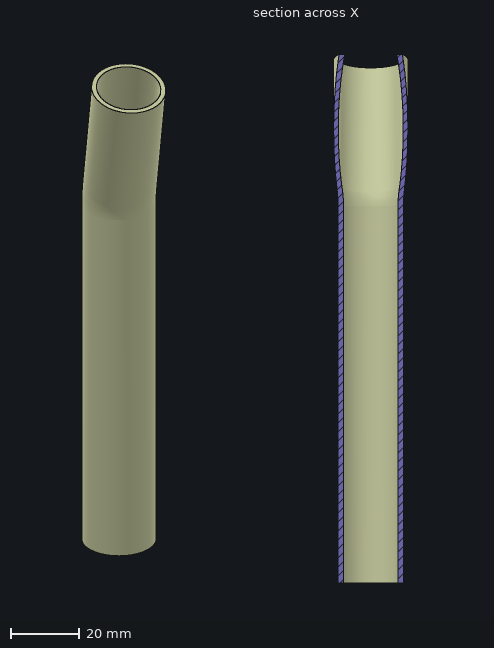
import cadquery as cq
import math

total_height = 156.5
outer_diameter = 21.9
wall = 1.5
lower_length = 110.5
bend_angle = 15.0
bend_radius = 25.0

outer_radius = outer_diameter / 2
inner_radius = outer_radius - wall
bend_sin = math.sin(math.radians(bend_angle))
bend_cos = math.cos(math.radians(bend_angle))

upper_length = (
    total_height - lower_length - (bend_radius + outer_radius) * bend_sin
) / bend_cos


def bend_point(angle):
    """Centreline point in XZ after turning through the angle, in degrees."""
    turn = math.radians(angle)
    x = bend_radius * (1 - math.cos(turn))
    z = lower_length + bend_radius * math.sin(turn)
    return (x, z)


bend_end_x, bend_end_z = bend_point(bend_angle)
upper_end = (bend_end_x + upper_length * bend_sin, bend_end_z + upper_length * bend_cos)
centreline = (
    cq.Workplane("XZ")
    .lineTo(0, lower_length)
    .threePointArc(bend_point(bend_angle / 2), (bend_end_x, bend_end_z))
    .lineTo(*upper_end)
)

result = cq.Workplane("XY").circle(outer_radius).circle(inner_radius).sweep(centreline)